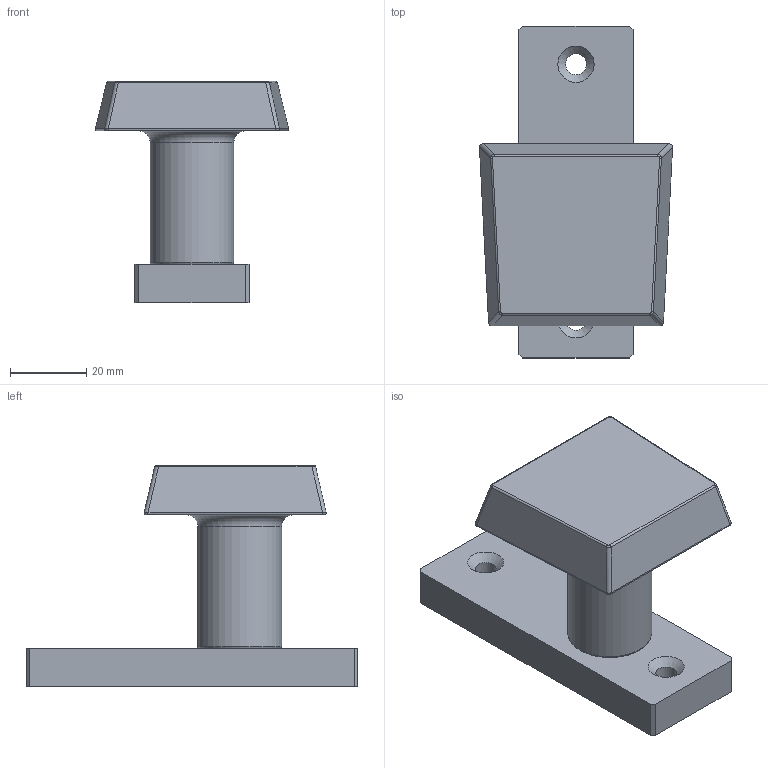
import cadquery as cq

plate_width = 30.0
plate_length = 87.0
plate_thickness = 10.0
plate_center_y = 12.5
plate_corner_chamfer = 1.0

screw_diameter = 5.5
countersink_diameter = 9.5
countersink_angle = 90.0
screw_end_distance = 10.0

stem_diameter = 22.0
stem_length = 35.0
stem_foot_fillet = 0.5
stem_head_fillet = 3.0

head_height = 13.0
head_length = 48.0
head_back_y = 25.2
head_front_width = 46.0
head_back_width = 51.0
head_draft_angle = 13.0
head_corner_fillet = 1.0
head_edge_fillet = 0.5


def make_plate():
    """Rectangular plate with chamfered upright corners and two countersunk holes."""
    screw_offset_y = plate_length / 2 - screw_end_distance
    return (
        cq.Workplane("XY")
        .center(0, plate_center_y)
        .rect(plate_width, plate_length)
        .extrude(plate_thickness)
        .edges("|Z")
        .chamfer(plate_corner_chamfer)
        .faces(">Z")
        .workplane(origin=(0, plate_center_y, plate_thickness))
        .pushPoints([(0, -screw_offset_y), (0, screw_offset_y)])
        .cskHole(screw_diameter, countersink_diameter, countersink_angle)
    )


def make_head(bottom_z):
    """Drafted trapezoid block with rounded corner and rim edges."""
    head_front_y = head_back_y - head_length
    front_half = head_front_width / 2
    back_half = head_back_width / 2
    footprint = [
        (-front_half, head_front_y),
        (front_half, head_front_y),
        (back_half, head_back_y),
        (-back_half, head_back_y),
    ]
    block = (
        cq.Workplane("XY", origin=(0, 0, bottom_z))
        .polyline(footprint)
        .close()
        .extrude(head_height, taper=head_draft_angle)
    )
    corners_rounded = block.edges("not #Z").fillet(head_corner_fillet)
    return corners_rounded.faces("<Z or >Z").edges().fillet(head_edge_fillet)


def make_knob():
    """Head and stem in one piece, with a fillet where the stem meets the head."""
    stem_top_z = plate_thickness + stem_length
    stem = (
        cq.Workplane("XY", origin=(0, 0, plate_thickness))
        .circle(stem_diameter / 2)
        .extrude(stem_length)
        .faces("<Z")
        .edges()
        .fillet(stem_foot_fillet)
    )
    knob = make_head(stem_top_z).union(stem)
    junction = knob.edges("%CIRCLE").edges(cq.selectors.NearestToPointSelector((0, 0, stem_top_z)))
    return junction.fillet(stem_head_fillet)


plate = make_plate()
knob = make_knob()
result = cq.Compound.makeCompound([plate.val(), knob.val()])